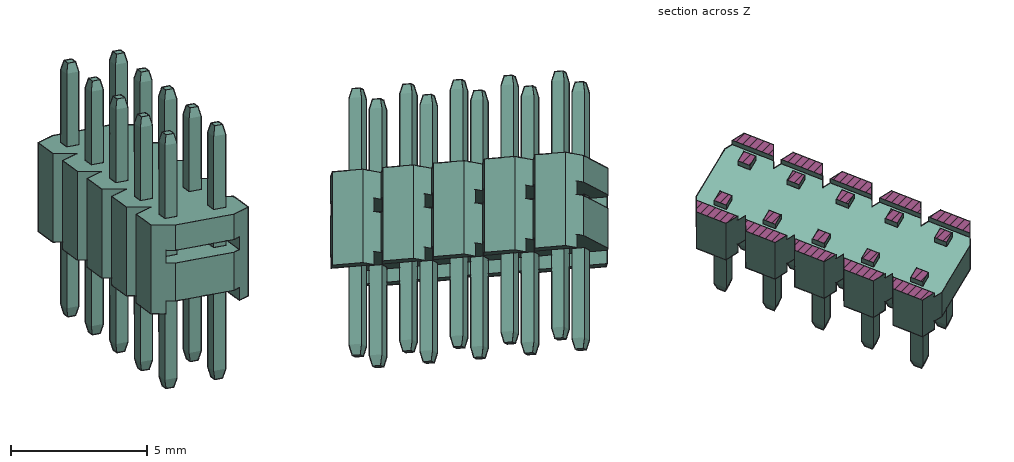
import cadquery as cq


pin_columns = 5
pin_rows = 2
pitch = 2.0
length = pin_columns * pitch
width = pin_rows * pitch

housing_height = 3.5
notch_half_width = 0.4
notch_depth = 0.8

channel_width = 3.0
channel_depth = 0.5
tunnel_height = 0.5
tunnel_roof = 1.0

pin_length = 10.0
pin_side = 0.5
tip_side = 0.32
tip_height = 0.38


def housing_block():
    return cq.Workplane("XY").box(length, width, housing_height)


def notch_cutters():
    """V notches between the columns; the outermost ones bevel the housing corners."""
    boundaries = [column * pitch - length / 2 for column in range(pin_columns + 1)]
    cutters = cq.Workplane("XY")
    for x in boundaries:
        for side in (-1, 1):
            face_y = side * width / 2
            notch = (
                cq.Workplane("XY", origin=(0, 0, -housing_height / 2))
                .polyline([
                    (x - notch_half_width, face_y),
                    (x, face_y - side * notch_depth),
                    (x + notch_half_width, face_y),
                ])
                .close()
                .extrude(housing_height)
            )
            cutters = cutters.add(notch)
    return cutters.combine()


def lengthwise_cutter(bottom_z, height):
    return (
        cq.Workplane("XY")
        .box(length, channel_width, height, centered=(True, True, False))
        .translate((0, 0, bottom_z))
    )


def pin():
    """Square pin along Z, tapered at both ends."""
    shaft_length = pin_length - 2 * tip_height
    shaft = cq.Workplane("XY").box(pin_side, pin_side, shaft_length)
    upper_tip = (
        cq.Workplane("XY", origin=(0, 0, shaft_length / 2))
        .rect(pin_side, pin_side)
        .workplane(offset=tip_height)
        .rect(tip_side, tip_side)
        .loft(ruled=True)
    )
    lower_tip = upper_tip.mirror("XY")
    return shaft.union(upper_tip).union(lower_tip)


underside_z = -housing_height / 2
tunnel_bottom_z = housing_height / 2 - tunnel_roof - tunnel_height

housing = (
    housing_block()
    .cut(notch_cutters())
    .cut(lengthwise_cutter(tunnel_bottom_z, tunnel_height))
    .cut(lengthwise_cutter(underside_z, channel_depth))
)

single_pin = pin()
result = housing
for column in range(pin_columns):
    for row in range(pin_rows):
        pin_x = (column + 0.5) * pitch - length / 2
        pin_y = (row + 0.5) * pitch - width / 2
        result = result.union(single_pin.translate((pin_x, pin_y, 0)))